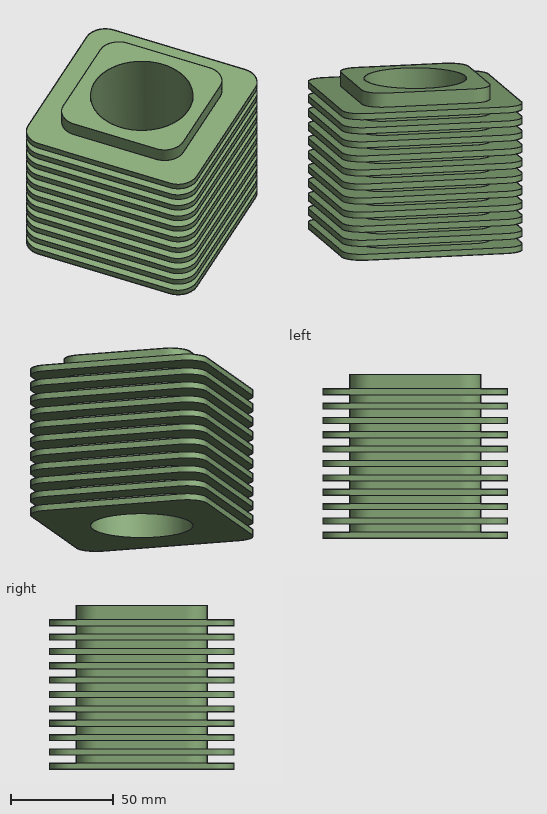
import cadquery as cq

bore_diameter = 50.0
core_width = 64.0
core_height = 80.0
fin_width = 90.0
fin_thickness = 3.0
fin_gap = 4.0
fin_count = 11
corner_radius = 10.0

fin_pitch = fin_thickness + fin_gap


def rounded_square_plate(width, height, base_z):
    """Square prism centred on the Z axis with rounded vertical edges."""
    return (
        cq.Workplane("XY")
        .workplane(offset=base_z)
        .rect(width, width)
        .extrude(height)
        .edges("|Z")
        .fillet(corner_radius)
    )


def finned_body():
    """Core with the fins stacked from its base upward."""
    body = rounded_square_plate(core_width, core_height, 0)
    for index in range(fin_count):
        fin = rounded_square_plate(fin_width, fin_thickness, index * fin_pitch)
        body = body.union(fin)
    return body


def bore():
    """Round bore through the full height of the core."""
    return cq.Workplane("XY").circle(bore_diameter / 2).extrude(core_height)


result = finned_body().cut(bore())